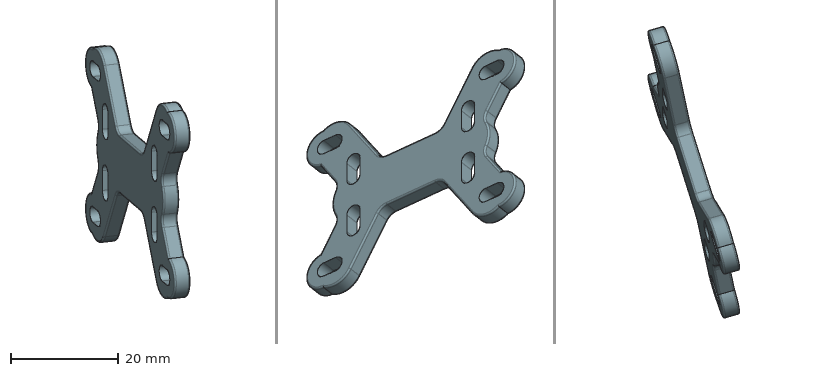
import cadquery as cq
import math

thickness = 3.15
rim_radius = 0.35

overall_length = 49.25
overall_height = 37.9
pad_z = 14.3
tip_radius = 4.0
tip_x = overall_length / 2 - tip_radius
shoulder_radius = overall_height / 2 - pad_z
shoulder_x = 18.2

arm_angle = math.radians(57.0)
waist_half_height = 5.7
corner_radius = 2.5

bulge_radius = 6.0
bulge_reach = 18.45
bulge_x = bulge_reach - bulge_radius

slot_width = 3.05
pad_slot_length = 5.8
pad_slot_x = 19.05
arm_slot_length = 6.95
arm_slot_x = 13.5
arm_slot_z = 6.0


def sketch_plane():
    """XZ plane on the rear face; its extrusions run towards -Y, centring the plate on Y = 0."""
    return cq.Workplane("XZ", origin=(0, thickness / 2, 0))


def four_corners(x, z):
    return [(x, z), (-x, z), (-x, -z), (x, -z)]


def discs(centres, radius):
    return sketch_plane().pushPoints(centres).circle(radius).extrude(thickness)


def slots(x, z, length, angle):
    outlines = sketch_plane().pushPoints(four_corners(x, z)).slot2D(length, slot_width, angle)
    return outlines.extrude(thickness)


def crossed_arms():
    """Waist and four straight arms, with sharp corners."""
    tangent_dx = shoulder_radius * math.sin(arm_angle)
    tangent_dz = shoulder_radius * math.cos(arm_angle)
    inner_top_x, inner_top_z = shoulder_x - tangent_dx, pad_z + tangent_dz
    outer_top_x, outer_top_z = shoulder_x + tangent_dx, pad_z - tangent_dz
    slope = math.tan(arm_angle)
    upper_right = [
        (inner_top_x - (inner_top_z - waist_half_height) / slope, waist_half_height),
        (inner_top_x, inner_top_z),
        (outer_top_x, outer_top_z),
    ]
    crotch_right = (outer_top_x - outer_top_z / slope, 0)
    lower_right = [(x, -z) for x, z in reversed(upper_right)]
    right = upper_right + [crotch_right] + lower_right
    left = [(-x, -z) for x, z in right]
    return sketch_plane().polyline(right + left).close().extrude(thickness)


def blend_corners(body):
    """Round the hollow corners at the waist and beside the bulges; the arm ends stay sharp."""
    zone_height = pad_z - shoulder_radius
    hollow_zone = cq.selectors.BoxSelector(
        (-overall_length, -thickness, -zone_height),
        (overall_length, thickness, zone_height),
    )
    return body.edges("|Y").edges(hollow_zone).fillet(corner_radius)


def round_rims(body):
    return body.faces("<Y or >Y").fillet(rim_radius)


body = crossed_arms().union(discs([(-bulge_x, 0), (bulge_x, 0)], bulge_radius))
body = blend_corners(body)
body = body.union(discs(four_corners(shoulder_x, pad_z), shoulder_radius))

body = round_rims(body).union(round_rims(discs(four_corners(tip_x, pad_z), tip_radius)))

body = body.cut(slots(pad_slot_x, pad_z, pad_slot_length, 0))
body = body.cut(slots(arm_slot_x, arm_slot_z, arm_slot_length, 90))

result = body